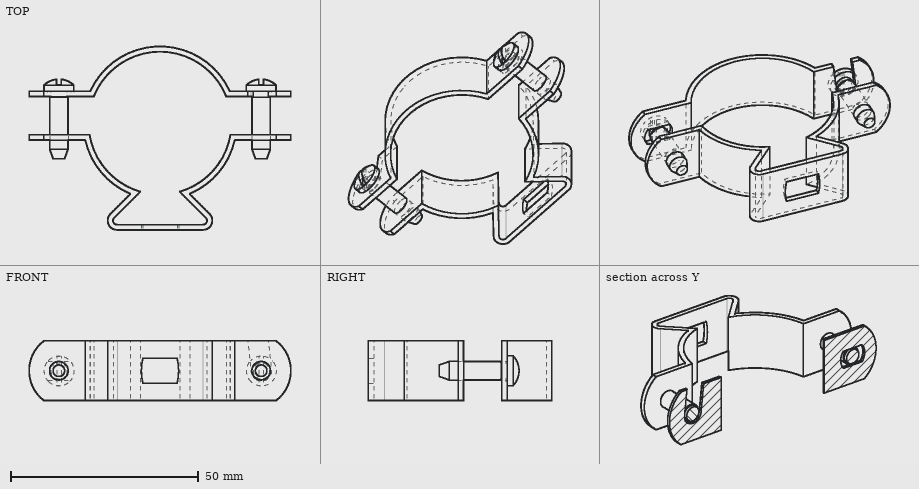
import cadquery as cq
import math

thickness = 1.5
strap_width = 16.0
half_width = strap_width / 2
half_length = 34.95
ring_outer_radius = 20.5
ring_inner_radius = ring_outer_radius - thickness
ear_end_radius = 10.0

upper_ear_top = 8.5
upper_ear_bottom = upper_ear_top - thickness
lower_ear_top = -3.1
lower_ear_bottom = lower_ear_top - thickness

foot_bottom = -28.5
foot_inside = foot_bottom + thickness
foot_half_width = 14.0
bend_outer_radius = 2.5
bend_inner_radius = bend_outer_radius - thickness
bend_x = foot_half_width - bend_outer_radius
bend_y = foot_bottom + bend_outer_radius

window_height = 6.6
window_length = 9.9
window_flat_length = 9.15

screw_x = 27.0
shank_diameter = 4.95
shank_radius = shank_diameter / 2
neck_radius = 2.2
neck_overhang = 0.15
neck_bottom = upper_ear_bottom - neck_overhang
cone_start = -6.9
screw_end = -9.6
tip_radius = 1.55
head_radius = 4.0
head_rim_height = 1.6
head_height = 3.2
drive_slot_width = 1.2
drive_slot_depth = 1.55

hole_length = 8.0
hole_height = 4.95
notch_radius = 2.7
notch_tilt = 6.0

COS45 = math.sqrt(0.5)


def circle_x(radius, y):
    """X of the point at height y on the right half of a circle about the origin."""
    return math.sqrt(radius**2 - y**2)


def ring_middle(radius, start, end):
    """Point on a ring circle halfway between two of its points."""
    angle = (math.atan2(start[1], start[0]) + math.atan2(end[1], end[0])) / 2
    return (radius * math.cos(angle), radius * math.sin(angle))


def bend_point(radius, angle):
    """Point on the right-hand foot bend at an angle in degrees from +X."""
    turn = math.radians(angle)
    return (bend_x + radius * math.cos(turn), bend_y + radius * math.sin(turn))


def leg_tip(ring_radius, bend_radius):
    """Where a 45 degree leg line, tangent to the bend, meets a ring circle."""
    axis_distance = (bend_x + bend_y) * COS45 + bend_radius
    along = math.sqrt(ring_radius**2 - axis_distance**2)
    return ((axis_distance + along) * COS45, (axis_distance - along) * COS45)


def extrude_strap(half_profile):
    """Extrude the right half of a strap outline, mirror it and round the ear ends."""
    half = half_profile.close().extrude(half_width, both=True)
    strap = half.union(half.mirror("YZ")).clean()

    corner_x = half_length - ear_end_radius + circle_x(ear_end_radius, half_width)
    ear_outline = (
        cq.Workplane("XZ")
        .moveTo(-corner_x, -half_width)
        .lineTo(corner_x, -half_width)
        .threePointArc((half_length, 0), (corner_x, half_width))
        .lineTo(-corner_x, half_width)
        .threePointArc((-half_length, 0), (-corner_x, -half_width))
        .close()
        .extrude(2 * half_length, both=True)
    )
    return strap.intersect(ear_outline)


def bulged_opening(length, flat_length, height, y_start, depth):
    """Cutter along +Y with flat top and bottom and arc-shaped ends, centred on X = 0."""
    x = flat_length / 2
    z = height / 2
    return (
        cq.Workplane("XZ", origin=(0, y_start, 0))
        .moveTo(-x, -z)
        .lineTo(x, -z)
        .threePointArc((length / 2, 0), (x, z))
        .lineTo(-x, z)
        .threePointArc((-length / 2, 0), (-x, -z))
        .close()
        .extrude(-depth)
    )


def tilted_notch():
    """Round-bottomed notch cutter, open at the upper edge of the right ear."""
    depth = upper_ear_top - upper_ear_bottom
    plane = cq.Workplane("XZ", origin=(screw_x, upper_ear_bottom, 0))
    notch = (
        plane.moveTo(-notch_radius, strap_width)
        .lineTo(-notch_radius, 0)
        .threePointArc((0, -notch_radius), (notch_radius, 0))
        .lineTo(notch_radius, strap_width)
        .close()
        .extrude(-depth)
    )
    return notch.rotate((screw_x, 0, 0), (screw_x, 1, 0), -notch_tilt)


def make_upper_strap():
    outer_corner = (circle_x(ring_outer_radius, upper_ear_top), upper_ear_top)
    inner_corner = (circle_x(ring_inner_radius, upper_ear_bottom), upper_ear_bottom)
    outer_crown = (0, ring_outer_radius)
    inner_crown = (0, ring_inner_radius)
    half_profile = (
        cq.Workplane("XY")
        .moveTo(*outer_crown)
        .threePointArc(ring_middle(ring_outer_radius, outer_crown, outer_corner), outer_corner)
        .lineTo(half_length, upper_ear_top)
        .lineTo(half_length, upper_ear_bottom)
        .lineTo(*inner_corner)
        .threePointArc(ring_middle(ring_inner_radius, inner_crown, inner_corner), inner_crown)
    )
    hole_flat_length = 2 * circle_x(hole_length / 2, hole_height / 2)
    hole = bulged_opening(hole_length, hole_flat_length, hole_height, upper_ear_bottom, thickness)
    strap = extrude_strap(half_profile)
    return strap.cut(hole.translate((-screw_x, 0, 0))).cut(tilted_notch())


def make_lower_strap():
    inner_corner = (circle_x(ring_inner_radius, lower_ear_top), lower_ear_top)
    outer_corner = (circle_x(ring_outer_radius, lower_ear_bottom), lower_ear_bottom)
    inner_tip = leg_tip(ring_inner_radius, bend_inner_radius)
    outer_tip = leg_tip(ring_outer_radius, bend_outer_radius)
    half_profile = (
        cq.Workplane("XY")
        .moveTo(half_length, lower_ear_top)
        .lineTo(*inner_corner)
        .threePointArc(ring_middle(ring_inner_radius, inner_corner, inner_tip), inner_tip)
        .lineTo(*bend_point(bend_inner_radius, 45))
        .threePointArc(bend_point(bend_inner_radius, 0), (bend_x, foot_inside))
        .lineTo(0, foot_inside)
        .lineTo(0, foot_bottom)
        .lineTo(bend_x, foot_bottom)
        .threePointArc(bend_point(bend_outer_radius, 0), bend_point(bend_outer_radius, 45))
        .lineTo(*outer_tip)
        .threePointArc(ring_middle(ring_outer_radius, outer_tip, outer_corner), outer_corner)
        .lineTo(half_length, lower_ear_bottom)
    )
    window = bulged_opening(window_length, window_flat_length, window_height, foot_bottom, thickness)
    strap = extrude_strap(half_profile).cut(window)
    for x in (-screw_x, screw_x):
        screw_hole = (
            cq.Workplane("XZ", origin=(x, lower_ear_bottom, 0))
            .circle(shank_radius)
            .extrude(-thickness)
        )
        strap = strap.cut(screw_hole)
    return strap


def make_screw(x):
    """Slotted domed screw along Y, its head resting on the upper ear."""
    rim_top = upper_ear_top + head_rim_height
    head_top = upper_ear_top + head_height
    dome_height = head_height - head_rim_height
    dome_radius = (head_radius**2 + dome_height**2) / (2 * dome_height)
    half_angle = math.asin(head_radius / dome_radius) / 2
    dome_middle = (
        dome_radius * math.sin(half_angle),
        head_top - dome_radius * (1 - math.cos(half_angle)),
    )
    body = (
        cq.Workplane("XY")
        .moveTo(0, screw_end)
        .lineTo(tip_radius, screw_end)
        .lineTo(shank_radius, cone_start)
        .lineTo(shank_radius, neck_bottom)
        .lineTo(neck_radius, neck_bottom)
        .lineTo(neck_radius, upper_ear_top)
        .lineTo(head_radius, upper_ear_top)
        .lineTo(head_radius, rim_top)
        .threePointArc(dome_middle, (0, head_top))
        .close()
        .revolve(360, (0, 0, 0), (0, 1, 0))
    )
    drive_slot = (
        cq.Workplane("XY", origin=(0, head_top - drive_slot_depth / 2, 0))
        .box(drive_slot_width, drive_slot_depth, 2 * head_radius)
    )
    return body.cut(drive_slot).translate((x, 0, 0))


upper_strap = make_upper_strap()
lower_strap = make_lower_strap()
screws = [make_screw(x) for x in (-screw_x, screw_x)]

result = cq.Compound.makeCompound(
    [upper_strap.val(), lower_strap.val(), *[screw.val() for screw in screws]]
)